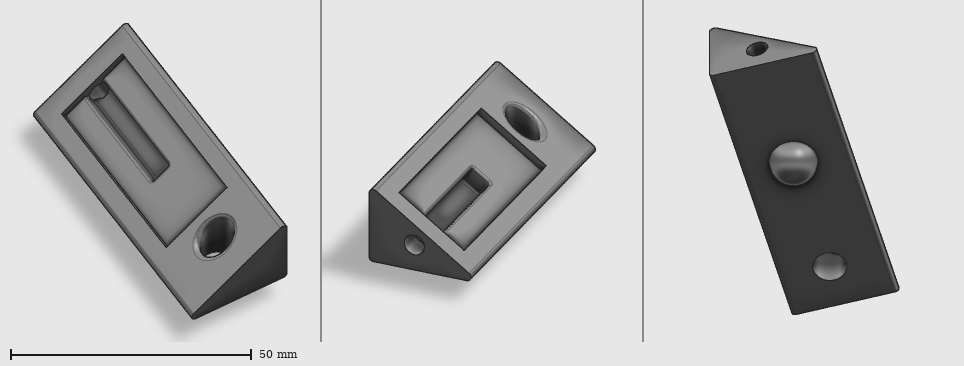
import cadquery as cq
import math

length = 63.5
depth = 23.2
corner_radius = 1.0
slope_angle = math.radians(35)

pocket_start = 5.0
pocket_length = 41.9
pocket_front = 3.8
pocket_width = 18.05
pocket_depth = 1.7

slot_length = 26.7
slot_width = 5.1
slot_depth = 4.25
slot_offset = 8.4
slot_radius = 0.5

end_hole_diameter = 4.6

through_hole_diameter = 7.1
through_hole_x = 53.6
rim_radius = 1.0
ball_radius = 5.1
ball_x = 25.65
center_y = 12.2

tolerance = 0.005

sin_slope = math.sin(slope_angle)
cos_slope = math.cos(slope_angle)
corner_run = depth - 2 * corner_radius
corner_rise = corner_run * math.tan(slope_angle)
height = corner_rise + 2 * corner_radius

slope_start_y = corner_radius * (1 - sin_slope)
slope_start_z = corner_radius * (1 + cos_slope)
slope_plane = cq.Plane(
    origin=(0, slope_start_y, slope_start_z),
    xDir=(1, 0, 0),
    normal=(0, -sin_slope, cos_slope),
)

pocket_low = (pocket_front - slope_start_y) / cos_slope
slot_middle = pocket_low + slot_offset
slot_low = slot_middle - slot_width / 2


def make_body():
    """Triangle through the corner centers, grown by the corner radius."""
    return (
        cq.Workplane("YZ")
        .moveTo(corner_radius, corner_radius)
        .lineTo(depth - corner_radius, corner_radius)
        .lineTo(depth - corner_radius, corner_radius + corner_rise)
        .close()
        .offset2D(corner_radius)
        .extrude(length)
    )


def sloped_box(start, low, size_x, size_y, bottom, top):
    """Box aligned with the sloping face, between two levels relative to it."""
    return (
        cq.Workplane(slope_plane)
        .workplane(offset=bottom)
        .move(start, low)
        .rect(size_x, size_y, centered=False)
        .extrude(top - bottom)
    )


def make_through_hole():
    return (
        cq.Workplane("XY")
        .center(through_hole_x, center_y)
        .circle(through_hole_diameter / 2)
        .extrude(height)
    )


def make_half_ball():
    upper_half = cq.Workplane("XY").box(length, length, ball_radius, centered=(True, True, False))
    ball = cq.Workplane("XY").sphere(ball_radius).cut(upper_half)
    return ball.translate((ball_x, center_y, 0))


def make_pocket():
    return sloped_box(
        pocket_start, pocket_low, pocket_length, pocket_width, -pocket_depth, corner_radius
    )


def make_slot():
    slot_floor = -pocket_depth - slot_depth
    slot = sloped_box(pocket_start, slot_low, slot_length, slot_width, slot_floor, -pocket_depth)
    floor_edges = cq.selectors.DirectionMinMaxSelector(slope_plane.zDir, False)
    upright_edges = cq.selectors.ParallelDirSelector(slope_plane.zDir)
    return slot.edges(floor_edges + upright_edges).fillet(slot_radius)


def slot_center_yz():
    center = slope_plane.toWorldCoords((0, slot_middle, -pocket_depth - slot_depth / 2))
    return center.y, center.z


def make_end_hole():
    """Bore along X, centered in the slot and stopping where the slot begins."""
    return (
        cq.Workplane("YZ")
        .center(*slot_center_yz())
        .circle(end_hole_diameter / 2)
        .extrude(pocket_start + slot_radius)
    )


def round_slot_mouth(part):
    """Round the sides, corners and far end of the slot where they meet the pocket floor."""

    def on_mouth(edge):
        point = slope_plane.toLocalCoords(edge.Center())
        on_floor = abs(point.z + pocket_depth) < tolerance
        in_slot_length = pocket_start + tolerance < point.x < pocket_start + slot_length + tolerance
        in_slot_width = abs(point.y - slot_middle) < slot_width / 2 + tolerance
        return on_floor and in_slot_length and in_slot_width

    return part.edges().filter(on_mouth).fillet(slot_radius)


result = make_body().cut(make_through_hole())
hole_rim = result.edges("%ELLIPSE")
result = hole_rim.fillet(rim_radius)
result = result.union(make_half_ball())
result = result.cut(make_pocket()).cut(make_slot())
result = round_slot_mouth(result)
result = result.cut(make_end_hole())